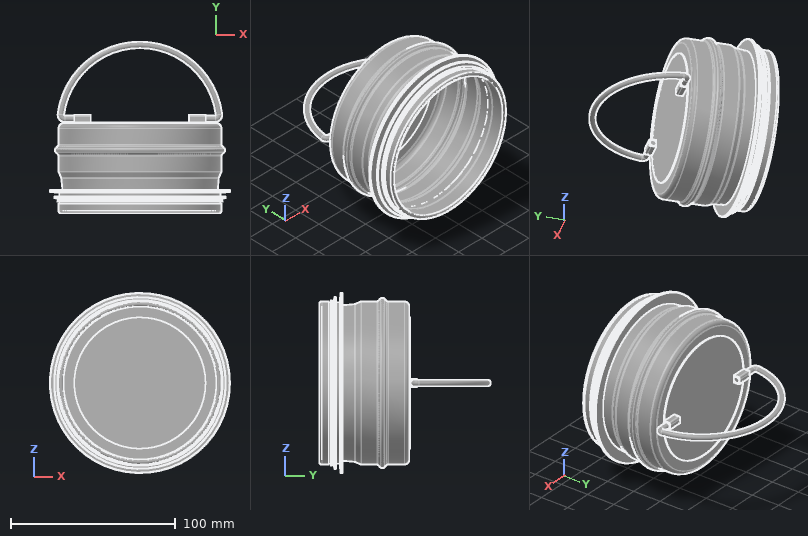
import cadquery as cq
import math


SHEET = 0.6
CAP_RADIUS = 99.0 / 2
CAP_DEPTH = 54.8
END_CORNER_RADIUS = 3.1
MOUTH_RADIUS = 92.8 / 2
HEM_LENGTH = 6.0
NECK_START_Y = 10.2
NECK_END_Y = 21.7
NECK_END_RADIUS = 95.9 / 2
CONE_END_Y = 25.4
CONE_CORNER_RADIUS = 1.1

BEAD_Y = 38.4
BEAD_HEIGHT = 3.0
BEAD_HALF_WIDTH = 3.1
BEAD_NOSE_RADIUS = 1.9
BEAD_FOOT_RADIUS = 1.1

GASKET_RADIUS = 98.1 / 2
LIP_1_RADIUS = 50.3
LIP_1_REAR_RADIUS = 49.9
LIP_1_START_Y = 7.0
LIP_1_END_Y = 8.1
LIP_2_RADIUS = 104.4 / 2
LIP_2_START_Y = 9.2
LIP_2_END_Y = 10.4
LIP_3_RADIUS = 109.5 / 2
LIP_3_START_Y = 12.9
GASKET_END_Y = 14.5
LIP_ROOT_FLARE = 0.4
LIP_EDGE_CHAMFER = 0.3

WIRE_RADIUS = 4.0 / 2
HANDLE_TOP_Y = 104.3
HANDLE_ARC_RADIUS = 48.4
ELBOW_RADIUS = 2.4

PLATE_RADIUS = 39.8
PLATE_THICKNESS = 0.6
SLEEVE_LENGTH = 10.1
SLEEVE_WALL = 0.5
SLEEVE_CORNER_RADIUS = 1.2

HEM_BEND_RADIUS = (CAP_RADIUS - MOUTH_RADIUS) / 2
HEM_BEND_CENTER = (MOUTH_RADIUS + HEM_BEND_RADIUS, HEM_BEND_RADIUS)
NECK_START_RADIUS = MOUTH_RADIUS + SHEET
PLATE_TOP_Y = CAP_DEPTH + PLATE_THICKNESS
WIRE_Y = PLATE_TOP_Y + WIRE_RADIUS
SLEEVE_INNER_X = PLATE_RADIUS - SLEEVE_LENGTH


def polar(center, radius, angle):
    """Point on a circle, with the angle measured from +X toward +Y."""
    return (center[0] + radius * math.cos(angle), center[1] + radius * math.sin(angle))


def revolve_about_y(profile):
    """Close a profile drawn as (radius, Y) and turn it a full turn about the Y axis."""
    return profile.close().revolve(360, (0, 0, 0), (0, 1, 0))


def round_corner(profile, before, corner, after, radius):
    """Draw on to a corner that is rounded by an arc tangent to both of its sides."""
    corner = cq.Vector(*corner)
    to_before = (cq.Vector(*before) - corner).normalized()
    to_after = (cq.Vector(*after) - corner).normalized()
    half_angle = to_before.getAngle(to_after) / 2
    tangent_length = radius / math.tan(half_angle)
    middle_distance = radius / math.sin(half_angle) - radius
    middle = corner + (to_before + to_after).normalized() * middle_distance
    arc_start = corner + to_before * tangent_length
    arc_end = corner + to_after * tangent_length
    return profile.lineTo(arc_start.x, arc_start.y).threePointArc(
        (middle.x, middle.y), (arc_end.x, arc_end.y)
    )


def wall_solid():
    """Solid inside the outer face of the cap wall, from the hem bend to the closed end."""
    corners = [
        ((NECK_START_RADIUS, NECK_START_Y), CONE_CORNER_RADIUS),
        ((NECK_END_RADIUS, NECK_END_Y), CONE_CORNER_RADIUS),
        ((CAP_RADIUS, CONE_END_Y), CONE_CORNER_RADIUS),
        ((CAP_RADIUS, BEAD_Y - BEAD_HALF_WIDTH), BEAD_FOOT_RADIUS),
        ((CAP_RADIUS + BEAD_HEIGHT, BEAD_Y), BEAD_NOSE_RADIUS),
        ((CAP_RADIUS, BEAD_Y + BEAD_HALF_WIDTH), BEAD_FOOT_RADIUS),
        ((CAP_RADIUS, CAP_DEPTH), END_CORNER_RADIUS),
    ]
    wall_start = (NECK_START_RADIUS, HEM_BEND_RADIUS)
    end_center = (0, CAP_DEPTH)
    points = [wall_start] + [point for point, radius in corners] + [end_center]

    profile = cq.Workplane("XY").moveTo(0, HEM_BEND_RADIUS).lineTo(*wall_start)
    for index, (point, radius) in enumerate(corners):
        profile = round_corner(profile, points[index], point, points[index + 2], radius)
    return revolve_about_y(profile.lineTo(*end_center))


def make_hem():
    """Sheet folded outward and back around the mouth."""
    outer_middle = polar(HEM_BEND_CENTER, HEM_BEND_RADIUS, -math.pi / 2)
    inner_middle = polar(HEM_BEND_CENTER, HEM_BEND_RADIUS - SHEET, -math.pi / 2)
    profile = (
        cq.Workplane("XY")
        .moveTo(MOUTH_RADIUS, HEM_BEND_RADIUS)
        .threePointArc(outer_middle, (CAP_RADIUS, HEM_BEND_RADIUS))
        .lineTo(CAP_RADIUS, HEM_LENGTH)
        .lineTo(CAP_RADIUS - SHEET, HEM_LENGTH)
        .lineTo(CAP_RADIUS - SHEET, HEM_BEND_RADIUS)
        .threePointArc(inner_middle, (NECK_START_RADIUS, HEM_BEND_RADIUS))
    )
    return revolve_about_y(profile)


def make_cap(wall):
    return wall.faces("<Y").shell(-SHEET).union(make_hem())


def large_lip(radius, start_y, end_y):
    """Outline of a lip with a chamfered tip, whose front face slopes toward the mouth at its root."""
    chamfer = LIP_EDGE_CHAMFER
    return [
        (GASKET_RADIUS, start_y - LIP_ROOT_FLARE),
        (radius - chamfer, start_y),
        (radius, start_y + chamfer),
        (radius, end_y - chamfer),
        (radius - chamfer, end_y),
        (GASKET_RADIUS, end_y),
    ]


def make_gasket(wall):
    """Core seated in the hem and around the neck, with its lips; the wall is cut out of it."""
    hem_seat_radius = CAP_RADIUS - SHEET
    outline = [
        (0, HEM_BEND_RADIUS),
        (hem_seat_radius, HEM_BEND_RADIUS),
        (hem_seat_radius, HEM_LENGTH),
        (GASKET_RADIUS, HEM_LENGTH),
        (GASKET_RADIUS, LIP_1_START_Y),
        (LIP_1_RADIUS, LIP_1_START_Y),
        (LIP_1_REAR_RADIUS, LIP_1_END_Y),
        (GASKET_RADIUS, LIP_1_END_Y),
        *large_lip(LIP_2_RADIUS, LIP_2_START_Y, LIP_2_END_Y),
        *large_lip(LIP_3_RADIUS, LIP_3_START_Y, GASKET_END_Y),
        (0, GASKET_END_Y),
    ]
    return revolve_about_y(cq.Workplane("XY").polyline(outline)).cut(wall)


def make_handle():
    """Half-hoop wire with an elbow at each end that turns into a straight inward leg."""
    arc_center_y = HANDLE_TOP_Y - WIRE_RADIUS - HANDLE_ARC_RADIUS
    elbow_y = WIRE_Y + ELBOW_RADIUS
    center_distance = HANDLE_ARC_RADIUS - ELBOW_RADIUS
    lean = math.asin((elbow_y - arc_center_y) / center_distance)
    elbow_x = center_distance * math.cos(lean)

    arc_end = polar((0, arc_center_y), HANDLE_ARC_RADIUS, lean)
    elbow_middle = polar((elbow_x, elbow_y), ELBOW_RADIUS, (lean - math.pi / 2) / 2)
    path = (
        cq.Workplane("XY")
        .moveTo(-SLEEVE_INNER_X, WIRE_Y)
        .lineTo(-elbow_x, WIRE_Y)
        .threePointArc((-elbow_middle[0], elbow_middle[1]), (-arc_end[0], arc_end[1]))
        .threePointArc((0, arc_center_y + HANDLE_ARC_RADIUS), arc_end)
        .threePointArc(elbow_middle, (elbow_x, WIRE_Y))
        .lineTo(SLEEVE_INNER_X, WIRE_Y)
    )
    leg_end = cq.Workplane("YZ", origin=(-SLEEVE_INNER_X, WIRE_Y, 0))
    return leg_end.circle(WIRE_RADIUS).sweep(path)


def make_sleeve(side):
    """Block on the plate with rounded outer corners; side is -1 or 1 along X."""
    width = 2 * (WIRE_RADIUS + SLEEVE_WALL)
    height = 2 * WIRE_RADIUS + SLEEVE_WALL
    middle_x = side * (PLATE_RADIUS - SLEEVE_LENGTH / 2)
    return (
        cq.Workplane("XY", origin=(middle_x, PLATE_TOP_Y + height / 2, 0))
        .box(SLEEVE_LENGTH, height, width)
        .faces(">Y")
        .edges("|X")
        .fillet(SLEEVE_CORNER_RADIUS)
    )


def make_handle_plate(handle):
    """Disc on the closed end with both sleeves; the wire ends are cut out of the sleeves."""
    disc_plane = cq.Workplane("XZ", origin=(0, PLATE_TOP_Y, 0))
    plate = disc_plane.circle(PLATE_RADIUS).extrude(PLATE_THICKNESS)
    for side in (-1, 1):
        plate = plate.union(make_sleeve(side))
    return plate.cut(handle)


wall = wall_solid()
cap = make_cap(wall)
gasket = make_gasket(wall)
handle = make_handle()
handle_plate = make_handle_plate(handle)

result = cq.Compound.makeCompound([cap.val(), gasket.val(), handle.val(), handle_plate.val()])